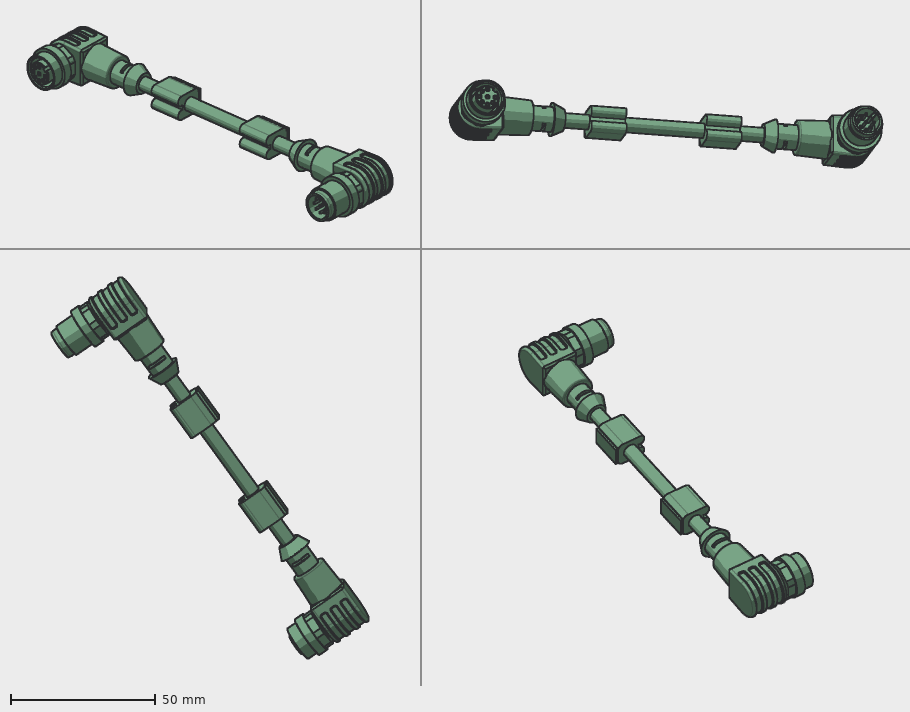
import cadquery as cq
import math

overall_length = 149.2
cable_diameter = 5.2

flange_diameter = 15.0
plug_axis_x = (overall_length - flange_diameter) / 2
housing_radius = flange_diameter / 2
housing_half_width = 7.0
housing_end = 8.8
housing_end_height = 14.2
housing_end_half_height = housing_end_height / 2
housing_edge_fillet = 0.9
housing_end_chamfer = 0.7

groove_count = 3
groove_span = 8.5
groove_pitch = groove_span / (groove_count - 1)
groove_width = 2.8
groove_depth = 0.52
groove_floor_chamfer = 0.37
groove_reach = 4.9
groove_corner_radius = 0.9
edge_tolerance = 0.01

grip_start_diameter = 13.5
grip_end_diameter = 12.2
grip_start = 7.5
grip_end = 19.7
grip_fillet = 0.5
neck_diameter = 8.8
neck_slot_position = 24.0
neck_slot_width = 1.0
neck_slot_half_height = 2.8
collar_start = 27.3
collar_end = 31.5
collar_diameter = 11.8
collar_tip_diameter = 7.8

plug_neck_diameter = 8.7
hex_sides = 6
hex_start = 14.9
hex_across_flats = 13.1
hex_corner_diameter = 14.0
flange_start = 18.0
flange_end = 21.3

socket_diameter = 12.8
socket_end = 25.4
socket_bore_diameter = 10.9
socket_mouth_diameter = 12.0
socket_bore_depth = 6.0
insert_diameter = 8.4
insert_end = 26.3
seal_outer_diameter = 10.5
insert_chamfer = 0.37
contact_hole_diameter = 0.9
contact_hole_depth = 4.5
contact_countersink_diameter = 1.5
countersink_angle = 90
keyway_angle = 45
keyway_width = 1.3
keyway_depth = 0.9

barrel_diameter = 12.2
barrel_end = 28.5
nose_diameter = 10.9
nose_tip_diameter = 10.5
nose_chamfer_start = 30.3
nose_end = 31.3
pin_bore_diameter = 8.8
pin_bore_depth = 7.5
pin_diameter = 0.8
pin_length = 6.3
pin_tip_chamfer = 0.18
key_angle = 45
key_width = 1.0
key_setback = 1.2
key_tip_radius = 2.5

contact_places = 8
contact_circle_diameter = 5.5
contact_circle_radius = contact_circle_diameter / 2

clip_length = 12.4
clip_inner_end = 14.3
clip_height = 9.4
clip_half_height = clip_height / 2
clip_lobe_radius = 2.0
clip_lobe_y = -4.0
clip_groove_floor_y = -3.6
clip_flat_end_y = 2.7
clip_plate_y = 4.9
clip_plate_outer_y = 6.0
clip_shoulder_height = 3.1
clip_plate_half_height = 3.5
label_slot_width = 0.6
label_slot_height = 5.4


def axial_y(distance):
    """Y of a point on the plug axis at a distance from the housing's back face."""
    return housing_half_width - distance


def plug_disc(diameter, start, end):
    """Cylinder on the plug axis between two distances from the housing's back face."""
    plane = cq.Workplane("XZ", origin=(0, axial_y(start), 0))
    return plane.circle(diameter / 2).extrude(end - start)


def cone_along_x(start_diameter, end_diameter, start, end):
    """Cone or cylinder about the X axis."""
    outline = [(start, 0), (start, start_diameter / 2), (end, end_diameter / 2), (end, 0)]
    return cq.Workplane("XY").polyline(outline).close().revolve(360, (0, 0, 0), (1, 0, 0))


def housing_core(inset):
    """Round-ended housing block, its rounded and tapered sides moved inwards by inset."""
    radius = housing_radius - inset
    drop = housing_radius - housing_end_half_height
    tangent_angle = math.pi / 2 - math.asin(drop / housing_end)
    tangent = (radius * math.cos(tangent_angle), radius * math.sin(tangent_angle))
    end_height = housing_end_half_height - inset
    return (
        cq.Workplane("XZ", origin=(0, housing_half_width, 0))
        .moveTo(housing_end, end_height)
        .lineTo(*tangent)
        .threePointArc((-radius, 0), (tangent[0], -tangent[1]))
        .lineTo(housing_end, -end_height)
        .close()
        .extrude(2 * housing_half_width)
    )


def housing():
    """Housing block with finger grooves whose floors meet the walls in a bevel."""
    body = housing_core(0).faces(">X").chamfer(housing_end_chamfer)
    body = body.faces("<Y or >Y").edges("not >X").fillet(housing_edge_fillet)
    groove_length = groove_reach + 2 * housing_radius
    grooves = (
        cq.Workplane("XY")
        .rarray(1.5, groove_pitch, 1, groove_count)
        .rect(2 * groove_length, groove_width)
        .extrude(2 * housing_radius, both=True)
        .translate((groove_reach - groove_length, 0, 0))
        .edges("|Z")
        .fillet(groove_corner_radius)
    )
    core = housing_core(groove_depth).val()
    grooves = grooves.cut(core)
    floor_edges = grooves.edges().filter(lambda edge: core.isInside(edge.Center(), edge_tolerance))
    return body.cut(floor_edges.chamfer(groove_floor_chamfer))


def strain_relief():
    """Tapered grip, slotted neck and flared collar around the cable."""
    grip = cone_along_x(grip_start_diameter, grip_end_diameter, grip_start, grip_end)
    grip = grip.faces(">X").edges().fillet(grip_fillet)
    neck = cone_along_x(neck_diameter, neck_diameter, housing_end, collar_start)
    collar = cone_along_x(collar_diameter, collar_tip_diameter, collar_start, collar_end)
    slots = (
        cq.Workplane("XY", origin=(neck_slot_position, 0, 0))
        .rect(neck_slot_width, neck_diameter)
        .extrude(neck_diameter, both=True)
    )
    slots = slots.cut(
        cq.Workplane("XY").box(overall_length, neck_diameter, 2 * neck_slot_half_height)
    )
    return grip.union(neck.cut(slots)).union(collar)


def coupling_nut():
    """Plug neck, hexagon with turned corners and round flange."""
    hexagon = (
        cq.Workplane("XZ", origin=(0, axial_y(hex_start), 0))
        .polygon(hex_sides, hex_across_flats, circumscribed=True)
        .extrude(flange_start - hex_start)
    )
    hexagon = hexagon.intersect(plug_disc(hex_corner_diameter, hex_start, flange_start))
    neck = plug_disc(plug_neck_diameter, housing_half_width, hex_start)
    return neck.union(hexagon).union(plug_disc(flange_diameter, flange_start, flange_end))


def contact_points(key_place_angle):
    """Contact positions: the middle one and those on the circle, leaving out the key's place."""
    points = [(0, 0)]
    for place in range(1, contact_places):
        angle = math.radians(key_place_angle + place * 360 / contact_places)
        x = contact_circle_radius * math.cos(angle)
        z = contact_circle_radius * math.sin(angle)
        points.append((x, z))
    return points


def radial_bar(angle, outer_radius, height, width, start, end):
    """Bar along the plug axis that reaches inwards from outer_radius by height."""
    bar = (
        cq.Workplane("XZ", origin=(0, axial_y(start), 0))
        .center(outer_radius - height / 2, 0)
        .rect(height, width)
        .extrude(end - start)
    )
    return bar.rotate((0, 0, 0), (0, 1, 0), -angle)


def socket_end_piece():
    """Nut, sleeve and contact insert, with a ring seal on the floor of the bore."""
    sleeve = plug_disc(socket_diameter, flange_end, socket_end)
    mouth_chamfer = (socket_mouth_diameter - socket_bore_diameter) / 2
    bore_floor = socket_end - socket_bore_depth
    bore = plug_disc(socket_bore_diameter, bore_floor, socket_end)
    sleeve = sleeve.cut(bore)
    sleeve = sleeve.faces("<Y").edges(cq.selectors.RadiusNthSelector(0))
    sleeve = sleeve.chamfer(mouth_chamfer)
    insert = plug_disc(insert_diameter, bore_floor, insert_end)
    insert = insert.faces("<Y").edges().chamfer(insert_chamfer)
    insert = (
        insert.faces("<Y")
        .workplane(origin=(0, axial_y(insert_end), 0))
        .pushPoints(contact_points(keyway_angle))
        .cskHole(contact_hole_diameter, contact_countersink_diameter, countersink_angle, contact_hole_depth)
    )
    seal_radius = (seal_outer_diameter - insert_diameter) / 4
    seal = cq.Workplane("XY").moveTo(insert_diameter / 2 + seal_radius, axial_y(bore_floor))
    seal = seal.circle(seal_radius).revolve(360, (0, 0, 0), (0, 1, 0))
    keyway_start = insert_end - contact_hole_depth
    keyway = radial_bar(
        keyway_angle, insert_diameter / 2, keyway_depth, keyway_width, keyway_start, insert_end
    )
    return coupling_nut().cut(bore).union(sleeve).union(seal).union(insert.cut(keyway))


def pin_end_piece():
    """Nut and stepped barrel with contact pins and a key inside the bore."""
    barrel = plug_disc(barrel_diameter, flange_end, barrel_end)
    nose = plug_disc(nose_diameter, barrel_end, nose_end).faces("<Y").edges()
    nose = nose.chamfer(nose_end - nose_chamfer_start, (nose_diameter - nose_tip_diameter) / 2)
    bore_floor = nose_end - pin_bore_depth
    bore = plug_disc(pin_bore_diameter, bore_floor, nose_end)
    pins = (
        cq.Workplane("XZ", origin=(0, axial_y(bore_floor), 0))
        .pushPoints(contact_points(key_angle))
        .circle(pin_diameter / 2)
        .extrude(pin_length)
        .faces("<Y")
        .edges()
        .chamfer(pin_tip_chamfer)
    )
    key_root_radius = (pin_bore_diameter + nose_tip_diameter) / 4
    key_height = key_root_radius - key_tip_radius
    key_end = nose_end - key_setback
    key = radial_bar(key_angle, key_root_radius, key_height, key_width, bore_floor, key_end)
    return coupling_nut().union(barrel).union(nose).cut(bore).union(pins).union(key)


def clip():
    """Label clip: two lobes facing -Y, a plate facing +Y and a label slot behind the plate."""
    lobe_z = clip_half_height - clip_lobe_radius
    lobe_tip_y = clip_lobe_y - clip_lobe_radius
    groove_z = lobe_z - clip_lobe_radius
    bulge = math.sqrt(0.5)
    bulge_y = clip_flat_end_y + bulge * (clip_plate_y - clip_flat_end_y)
    bulge_z = clip_shoulder_height + bulge * (clip_half_height - clip_shoulder_height)
    body = (
        cq.Workplane("YZ")
        .moveTo(clip_lobe_y, clip_half_height)
        .lineTo(clip_flat_end_y, clip_half_height)
        .threePointArc((bulge_y, bulge_z), (clip_plate_y, clip_shoulder_height))
        .lineTo(clip_plate_y, clip_plate_half_height)
        .lineTo(clip_plate_outer_y, clip_plate_half_height)
        .lineTo(clip_plate_outer_y, -clip_plate_half_height)
        .lineTo(clip_plate_y, -clip_plate_half_height)
        .lineTo(clip_plate_y, -clip_shoulder_height)
        .threePointArc((bulge_y, -bulge_z), (clip_flat_end_y, -clip_half_height))
        .lineTo(clip_lobe_y, -clip_half_height)
        .threePointArc((lobe_tip_y, -lobe_z), (clip_lobe_y, -groove_z))
        .lineTo(clip_groove_floor_y, -groove_z)
        .lineTo(clip_groove_floor_y, groove_z)
        .lineTo(clip_lobe_y, groove_z)
        .threePointArc((lobe_tip_y, lobe_z), (clip_lobe_y, clip_half_height))
        .close()
        .extrude(clip_length)
    )
    slot = (
        cq.Workplane("YZ")
        .center(clip_plate_y + label_slot_width / 2, 0)
        .rect(label_slot_width, label_slot_height)
        .extrude(clip_length)
    )
    return body.cut(slot)


elbow = housing().union(strain_relief())
left_plug = elbow.union(socket_end_piece()).translate((-plug_axis_x, 0, 0))
right_plug = elbow.mirror("YZ").union(pin_end_piece()).translate((plug_axis_x, 0, 0))
cable_length = 2 * (plug_axis_x - collar_start)
cable = cq.Workplane("YZ").circle(cable_diameter / 2).extrude(cable_length / 2, both=True)

result = cable.union(left_plug).union(right_plug)
for clip_start in (-clip_inner_end - clip_length, clip_inner_end):
    result = result.union(clip().translate((clip_start, 0, 0)))